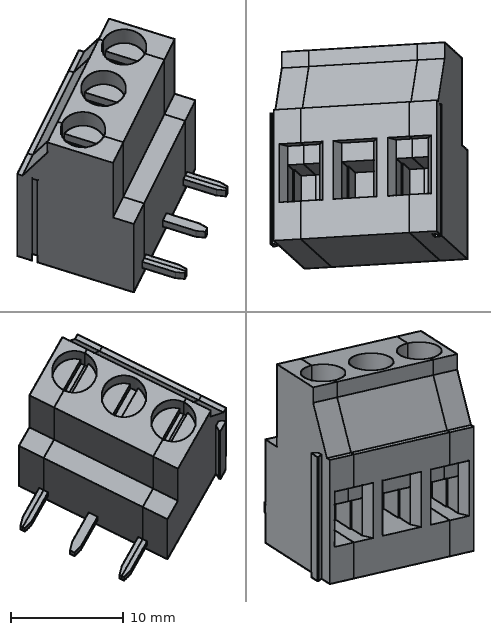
import cadquery as cq


POLE_COUNT = 3
POLE_PITCH = 5.0
ROW_LENGTH = POLE_COUNT * POLE_PITCH
POLE_CENTRES = [(i + 0.5) * POLE_PITCH for i in range(POLE_COUNT)]

HOUSING_DEPTH = 11.2
HOUSING_HEIGHT = 18.0
WIRE_FACE_HEIGHT = 12.0
LEDGE_DEPTH = 0.5
TOWER_FRONT = 2.9
TOWER_BACK = 9.2
SLOPE_TOP = 16.5
BACK_STEP_HEIGHT = 10.0

ENTRY_BOTTOM = 3.5
MOUTH_TOP = 8.84
MOUTH_WIDTH = 4.0
MOUTH_DEPTH = 1.0
PASSAGE_TOP = 7.11
PASSAGE_WIDTH = 2.93
PASSAGE_END = 2.85
CLAMP_WIDTH = 2.66

SCREW_X = 5.33
WELL_DIAMETER = 4.0
WELL_DEPTH = 2.0
SLOT_WIDTH = 0.8
SLOT_DEPTH = 1.0
CLAMP_END = SCREW_X

PIN_LENGTH = 4.0
PIN_SIZE = 0.9
PIN_BOTTOM = 1.12
TIP_LENGTH = 0.83
TIP_WIDTH = 0.47

DOVETAIL_X = 1.7
DOVETAIL_NECK = 0.5
DOVETAIL_HEAD = 1.05
FLANK_DEPTH = 0.45
KEY_DEPTH = 0.6
GROOVE_DEPTH = 0.7


def box_between(x_range, y_range, z_range):
    """Box given by its lower and upper limit along each axis."""
    limits = (x_range, y_range, z_range)
    size = [high - low for low, high in limits]
    corner = [low for low, high in limits]
    return cq.Workplane("XY").box(*size, centered=False).translate(tuple(corner))


def around(centre, width):
    """Lower and upper limit of a width laid symmetrically about a centre."""
    return centre - width / 2, centre + width / 2


def housing_block():
    outline = [
        (0, 0),
        (HOUSING_DEPTH, 0),
        (HOUSING_DEPTH, BACK_STEP_HEIGHT),
        (TOWER_BACK, BACK_STEP_HEIGHT),
        (TOWER_BACK, HOUSING_HEIGHT),
        (TOWER_FRONT, HOUSING_HEIGHT),
        (TOWER_FRONT, SLOPE_TOP),
        (LEDGE_DEPTH, WIRE_FACE_HEIGHT),
        (0, WIRE_FACE_HEIGHT),
    ]
    return cq.Workplane("XZ").polyline(outline).close().extrude(-ROW_LENGTH)


def wire_entry(pole_y):
    mouth_low, mouth_high = around(pole_y, MOUTH_WIDTH)
    passage_low, passage_high = around(pole_y, PASSAGE_WIDTH)
    mouth = (
        cq.Workplane("XY", origin=(0, 0, ENTRY_BOTTOM))
        .polyline([
            (0, mouth_low),
            (MOUTH_DEPTH, passage_low),
            (MOUTH_DEPTH, passage_high),
            (0, mouth_high),
        ])
        .close()
        .extrude(MOUTH_TOP - ENTRY_BOTTOM)
    )
    passage_z = (ENTRY_BOTTOM, PASSAGE_TOP)
    passage = box_between((MOUTH_DEPTH, PASSAGE_END), (passage_low, passage_high), passage_z)
    clamp = box_between((PASSAGE_END, CLAMP_END), around(pole_y, CLAMP_WIDTH), passage_z)
    return mouth.union(passage).union(clamp)


def screw_well(pole_y):
    """Round well whose lower part, below the screw head, is only as wide as the slot."""
    slot_floor = HOUSING_HEIGHT - WELL_DEPTH - SLOT_DEPTH
    well = (
        cq.Workplane("XY", origin=(SCREW_X, pole_y, slot_floor))
        .circle(WELL_DIAMETER / 2)
        .extrude(WELL_DEPTH + SLOT_DEPTH)
    )
    head_x = around(SCREW_X, WELL_DIAMETER)
    head_z = (slot_floor, slot_floor + SLOT_DEPTH)
    slot_low, slot_high = around(pole_y, SLOT_WIDTH)
    head_low, head_high = around(pole_y, WELL_DIAMETER)
    return (
        well
        .cut(box_between(head_x, (head_low, slot_low), head_z))
        .cut(box_between(head_x, (slot_high, head_high), head_z))
    )


def solder_pin(pole_y):
    pin_low, pin_high = around(pole_y, PIN_SIZE)
    tip_low, tip_high = around(pole_y, TIP_WIDTH)
    tip_end = HOUSING_DEPTH + PIN_LENGTH
    tip_start = tip_end - TIP_LENGTH
    return (
        cq.Workplane("XY", origin=(0, 0, PIN_BOTTOM))
        .polyline([
            (HOUSING_DEPTH, pin_low),
            (tip_start, pin_low),
            (tip_end, tip_low),
            (tip_end, tip_high),
            (tip_start, pin_high),
            (HOUSING_DEPTH, pin_high),
        ])
        .close()
        .extrude(PIN_SIZE)
    )


def dovetail(root_y, depth):
    """Dovetail that grows toward +Y from its neck at root_y."""
    neck_low, neck_high = around(DOVETAIL_X, DOVETAIL_NECK)
    head_low, head_high = around(DOVETAIL_X, DOVETAIL_HEAD)
    flank_y = root_y + FLANK_DEPTH
    head_y = root_y + depth
    return (
        cq.Workplane("XY")
        .polyline([
            (neck_low, root_y),
            (head_low, flank_y),
            (head_low, head_y),
            (head_high, head_y),
            (head_high, flank_y),
            (neck_high, root_y),
        ])
        .close()
        .extrude(WIRE_FACE_HEIGHT)
    )


def pole_row(y_start, y_end):
    """Length of the housing with its poles, cut off square at y_start and y_end."""
    row = housing_block()
    for pole_y in POLE_CENTRES:
        row = row.cut(wire_entry(pole_y)).cut(screw_well(pole_y)).union(solder_pin(pole_y))
    length = box_between(
        (0, HOUSING_DEPTH + PIN_LENGTH), (y_start, y_end), (0, HOUSING_HEIGHT)
    )
    return row.intersect(length)


def groove_end():
    return pole_row(0, POLE_CENTRES[0]).cut(dovetail(0, GROOVE_DEPTH))


def middle_section():
    return pole_row(POLE_CENTRES[0], POLE_CENTRES[-1])


def key_end():
    return pole_row(POLE_CENTRES[-1], ROW_LENGTH).union(dovetail(ROW_LENGTH, KEY_DEPTH))


result = cq.Compound.makeCompound([
    groove_end().val(),
    middle_section().val(),
    key_end().val(),
])